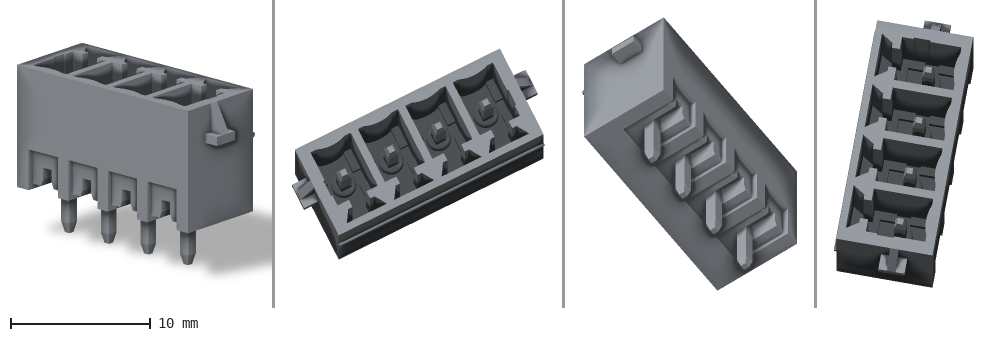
import cadquery as cq


POLE_COUNT = 4
POLE_PITCH = 3.8
POLE_XS = [(i - (POLE_COUNT - 1) / 2) * POLE_PITCH for i in range(POLE_COUNT)]

OVERALL_WIDTH = 18.73
WING_REACH = 1.15
BODY_WIDTH = OVERALL_WIDTH - 2 * WING_REACH
BODY_DEPTH = 7.0
BODY_HEIGHT = 9.2
FRONT_Y = -2.8
BACK_Y = FRONT_Y + BODY_DEPTH

BEAD_RADIUS = 0.19
BEAD_Z = 5.75

WING_DEPTH = 1.91
WING_THICKNESS = 0.67
WING_TOP_Z = 7.05
RIB_THICKNESS = 0.64

CAVITY_WIDTH = 3.22
CAVITY_FLOOR_Z = 3.07
CAVITY_FRONT_Y = -2.1
CAVITY_BACK_Y = 2.15
BULGE_WIDTH = 2.3
BULGE_HEIGHT = 0.22
DRAFT_OFFSET = 0.07

NECK_WIDTH = 1.4
DOVETAIL_FRONT_WIDTH = 2.1
DOVETAIL_FRONT_Y = 2.81
DOVETAIL_BACK_Y = 3.69

RECESS_DEPTH = 0.5
RECESS_FLOOR_Z = CAVITY_FLOOR_Z - RECESS_DEPTH
RECESS_WIDTH = 2.0
RECESS_BACK_Y = 1.67
CROSS_SLOT_DEPTH = 1.03
BOSS_DIAMETER = 1.8
BOSS_FILLET = 0.19

GROOVE_REACH = 0.11
GROOVE_WIDTH = 1.22
GROOVE_Y = 0.79

WINDOW_WIDTH = 2.8
WINDOW_HEIGHT = 3.07
WINDOW_DEPTH = 0.43
CHANNEL_HEIGHT = 0.4
CHANNEL_BACK_Y = RECESS_BACK_Y
NOTCH_TOP_Z = 1.8
FLARE_WIDTH = 1.22
FLARE_HEIGHT = 0.49

PIN_SIZE = 0.8
PIN_BOTTOM_Z = -3.5
PIN_TOP_Z = 7.51
PIN_TIP_SIZE = 0.43
PIN_TAPER_LENGTH = 0.8


def box(width, y_range, z_range):
    """Box centred on X = 0, between the given Y and Z limits."""
    y_min, y_max = y_range
    z_min, z_max = z_range
    return (
        cq.Workplane("XY")
        .box(width, y_max - y_min, z_max - z_min, centered=(True, False, False))
        .translate((0, y_min, z_min))
    )


def bead():
    return (
        cq.Workplane("YZ")
        .center(BACK_Y, BEAD_Z)
        .circle(BEAD_RADIUS)
        .extrude(BODY_WIDTH / 2, both=True)
    )


def wings():
    """Both latching wings: a flat bar on each end face under a triangular rib."""
    bar = box(
        OVERALL_WIDTH,
        (-WING_DEPTH / 2, WING_DEPTH / 2),
        (WING_TOP_Z - WING_THICKNESS, WING_TOP_Z),
    )
    ribs = (
        cq.Workplane("XZ")
        .moveTo(-OVERALL_WIDTH / 2, WING_TOP_Z)
        .lineTo(-BODY_WIDTH / 2, BODY_HEIGHT)
        .lineTo(BODY_WIDTH / 2, BODY_HEIGHT)
        .lineTo(OVERALL_WIDTH / 2, WING_TOP_Z)
        .close()
        .extrude(RIB_THICKNESS / 2, both=True)
    )
    return bar.union(ribs)


def cavity_prism(bottom_z, top_z):
    """Cavity outline with a bulged front wall and a dovetail keyway, as a straight prism."""
    half = CAVITY_WIDTH / 2
    half_neck = NECK_WIDTH / 2
    half_dovetail = DOVETAIL_FRONT_WIDTH / 2
    half_bulge = BULGE_WIDTH / 2
    return (
        cq.Workplane("XY")
        .workplane(offset=bottom_z)
        .moveTo(-half, CAVITY_FRONT_Y)
        .lineTo(-half_bulge, CAVITY_FRONT_Y)
        .threePointArc((0, CAVITY_FRONT_Y + BULGE_HEIGHT), (half_bulge, CAVITY_FRONT_Y))
        .lineTo(half, CAVITY_FRONT_Y)
        .lineTo(half, CAVITY_BACK_Y)
        .lineTo(half_neck, CAVITY_BACK_Y)
        .lineTo(half_neck, DOVETAIL_FRONT_Y)
        .lineTo(half_dovetail, DOVETAIL_FRONT_Y)
        .lineTo(half, DOVETAIL_BACK_Y)
        .lineTo(-half, DOVETAIL_BACK_Y)
        .lineTo(-half_dovetail, DOVETAIL_FRONT_Y)
        .lineTo(-half_neck, DOVETAIL_FRONT_Y)
        .lineTo(-half_neck, CAVITY_BACK_Y)
        .lineTo(-half, CAVITY_BACK_Y)
        .close()
        .extrude(top_z - bottom_z)
    )


def plug_cavity():
    """Open-topped cavity whose faces beside the keyway lean back slightly toward the rim."""
    cavity = cavity_prism(CAVITY_FLOOR_Z, BODY_HEIGHT)
    draft = (
        cq.Workplane("YZ")
        .moveTo(CAVITY_BACK_Y, CAVITY_FLOOR_Z)
        .lineTo(CAVITY_BACK_Y, BODY_HEIGHT)
        .lineTo(CAVITY_BACK_Y + DRAFT_OFFSET, BODY_HEIGHT)
        .close()
        .extrude(CAVITY_WIDTH / 2, both=True)
    )
    return cavity.union(draft)


def floor_recess():
    """Cross-shaped recess in the cavity floor, leaving a rounded boss around the pin."""
    z_range = (RECESS_FLOOR_Z, CAVITY_FLOOR_Z)
    lengthwise = box(RECESS_WIDTH, (CAVITY_FRONT_Y, RECESS_BACK_Y), z_range)
    crosswise = box(CAVITY_WIDTH, (-CROSS_SLOT_DEPTH / 2, CROSS_SLOT_DEPTH / 2), z_range)
    boss = (
        cq.Workplane("XY")
        .workplane(offset=RECESS_FLOOR_Z)
        .circle(BOSS_DIAMETER / 2)
        .extrude(RECESS_DEPTH)
        .faces(">Z")
        .edges()
        .fillet(BOSS_FILLET)
    )
    return lengthwise.union(crosswise).intersect(cavity_prism(*z_range)).cut(boss)


def underside_opening():
    """Front window, shallow channel below the pole and flared notch leading to the pin."""
    window_back_y = FRONT_Y + WINDOW_DEPTH
    window = box(WINDOW_WIDTH, (FRONT_Y, window_back_y), (0, WINDOW_HEIGHT))
    channel = box(WINDOW_WIDTH, (FRONT_Y, CHANNEL_BACK_Y), (0, CHANNEL_HEIGHT))
    notch = (
        cq.Workplane("XZ", origin=(0, window_back_y, 0))
        .moveTo(-FLARE_WIDTH / 2, CHANNEL_HEIGHT)
        .lineTo(FLARE_WIDTH / 2, CHANNEL_HEIGHT)
        .lineTo(PIN_SIZE / 2, CHANNEL_HEIGHT + FLARE_HEIGHT)
        .lineTo(PIN_SIZE / 2, NOTCH_TOP_Z)
        .lineTo(-PIN_SIZE / 2, NOTCH_TOP_Z)
        .lineTo(-PIN_SIZE / 2, CHANNEL_HEIGHT + FLARE_HEIGHT)
        .close()
        .extrude(-(PIN_SIZE / 2 - window_back_y))
    )
    return window.union(channel).union(notch)


def pin_hole():
    half = PIN_SIZE / 2
    return box(PIN_SIZE, (-half, half), (0, CAVITY_FLOOR_Z))


def end_grooves():
    """Wedge grooves in the two outermost cavity walls, deepest at the top rim."""
    floor_half = POLE_XS[-1] + CAVITY_WIDTH / 2
    top_half = floor_half + GROOVE_REACH
    tapered_span = (
        cq.Workplane("XZ", origin=(0, GROOVE_Y, 0))
        .moveTo(-floor_half, CAVITY_FLOOR_Z)
        .lineTo(floor_half, CAVITY_FLOOR_Z)
        .lineTo(top_half, BODY_HEIGHT)
        .lineTo(-top_half, BODY_HEIGHT)
        .close()
        .extrude(GROOVE_WIDTH / 2, both=True)
    )
    cavity_row = box(2 * floor_half, (FRONT_Y, BACK_Y), (0, BODY_HEIGHT))
    return tapered_span.cut(cavity_row)


def make_housing():
    block = box(BODY_WIDTH, (FRONT_Y, BACK_Y), (0, BODY_HEIGHT))
    block = block.union(bead()).union(wings())
    pole_cut = plug_cavity().union(floor_recess()).union(underside_opening()).union(pin_hole())
    for x in POLE_XS:
        block = block.cut(pole_cut.translate((x, 0, 0)))
    return block.cut(end_grooves()).solids()


def pin_taper(base_z, tip_z):
    """Square frustum from the full pin section at base_z to the blunt tip at tip_z."""
    return (
        cq.Workplane("XY")
        .workplane(offset=base_z)
        .rect(PIN_SIZE, PIN_SIZE)
        .workplane(offset=tip_z - base_z)
        .rect(PIN_TIP_SIZE, PIN_TIP_SIZE)
        .loft()
    )


def make_pin(x):
    """Straight square pin with a tapered tip at each end."""
    shank_bottom_z = PIN_BOTTOM_Z + PIN_TAPER_LENGTH
    shank_top_z = PIN_TOP_Z - PIN_TAPER_LENGTH
    half = PIN_SIZE / 2
    pin = box(PIN_SIZE, (-half, half), (shank_bottom_z, shank_top_z))
    pin = pin.union(pin_taper(shank_bottom_z, PIN_BOTTOM_Z))
    pin = pin.union(pin_taper(shank_top_z, PIN_TOP_Z))
    return pin.translate((x, 0, 0)).solids()


housing = make_housing()
pins = [make_pin(x) for x in POLE_XS]

result = cq.Compound.makeCompound([housing.val(), *(pin.val() for pin in pins)])